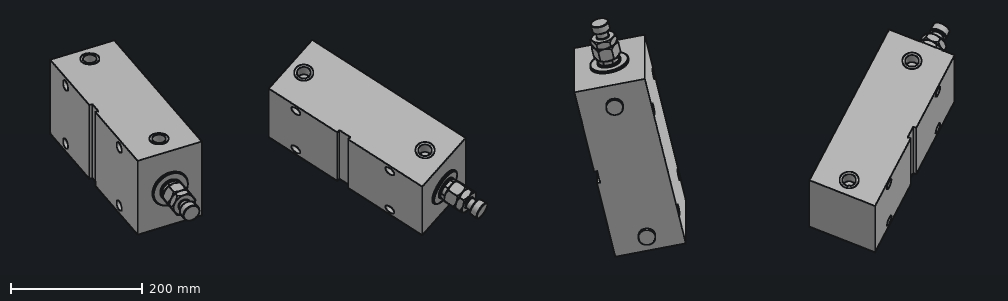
import cadquery as cq
import math

BLOCK_LENGTH = 293.0
BLOCK_WIDTH = 110.0
BLOCK_HEIGHT = 139.8

KEYWAY_START = 131.5
KEYWAY_WIDTH = 20.0
KEYWAY_DEPTH = 5.0

MOUNT_HOLE_DIAMETER = 17.0
MOUNT_HOLE_START = 52.0
MOUNT_HOLE_PITCH = 179.5
MOUNT_HOLE_INSET = 15.0

PORT_POSITIONS = (25.5, 257.0)
PORT_DIAMETER = 21.0
PORT_DEPTH = 22.0
SPOT_FACE_DIAMETER = 29.3
SPOT_FACE_DEPTH = 0.5
FEED_DIAMETER = 6.2
FEED_DEPTH = 11.0

PLUG_DIAMETER = 26.0
PLUG_HEIGHT = 5.0

AXIS_HEIGHT = BLOCK_HEIGHT / 2
FLANGE_DIAMETER = 60.0
FLANGE_THICKNESS = 3.3
FLANGE_CHAMFER = 1.0
COLLAR_DIAMETER = 36.5
COLLAR_LENGTH = 3.0
COLLAR_CHAMFER = 1.5
NECK_DIAMETER = 35.0
NECK_ACROSS_FLATS = 32.2
NECK_LENGTH = 7.5
HEX_ACROSS_FLATS = 36.2
HEX_ACROSS_CORNERS = HEX_ACROSS_FLATS / math.cos(math.radians(30))
HEX_CORNER_CHAMFER = 3.0
FITTING_HEX_LENGTH = 22.0
LOCK_NUT_LENGTH = 12.5
SHANK_DIAMETER = 19.8
WAIST_DIAMETER = 18.3
WAIST_LENGTH = 11.7
WAIST_TAPER_LENGTH = 1.0
KNOB_DIAMETER = 27.8
KNOB_CHAMFER = 0.7
OVERALL_LENGTH = 366.0

COLLAR_START = BLOCK_LENGTH + FLANGE_THICKNESS
NECK_START = COLLAR_START + COLLAR_LENGTH
FITTING_HEX_START = NECK_START + NECK_LENGTH
LOCK_NUT_START = FITTING_HEX_START + FITTING_HEX_LENGTH
WAIST_START = LOCK_NUT_START + LOCK_NUT_LENGTH
KNOB_START = WAIST_START + WAIST_LENGTH


def axis_plane(x):
    """Plane across the adjuster axis at x: local x runs along +Y and local y along +Z."""
    return cq.Workplane("YZ", origin=(x, 0, AXIS_HEIGHT))


def axis_cylinder(start, length, diameter):
    return axis_plane(start).circle(diameter / 2).extrude(length)


def chamfered_hex(start, length):
    """Hexagonal prism with flats facing +Z and -Z and its corners turned off at both ends."""
    prism = axis_plane(start).polygon(6, HEX_ACROSS_CORNERS).extrude(length)
    turned_envelope = axis_cylinder(start, length, HEX_ACROSS_CORNERS).edges().chamfer(HEX_CORNER_CHAMFER)
    return prism.intersect(turned_envelope)


def make_block():
    block = cq.Workplane("XY").box(BLOCK_LENGTH, BLOCK_WIDTH, BLOCK_HEIGHT, centered=(False, True, False))

    keyway = (
        cq.Workplane("XY", origin=(KEYWAY_START, -BLOCK_WIDTH / 2, 0))
        .box(KEYWAY_WIDTH, KEYWAY_DEPTH, BLOCK_HEIGHT, centered=False)
    )
    block = block.cut(keyway)

    mount_points = [
        (x, z)
        for x in (MOUNT_HOLE_START, MOUNT_HOLE_START + MOUNT_HOLE_PITCH)
        for z in (MOUNT_HOLE_INSET, BLOCK_HEIGHT - MOUNT_HOLE_INSET)
    ]
    mount_holes = (
        cq.Workplane("XZ", origin=(0, BLOCK_WIDTH / 2, 0))
        .pushPoints(mount_points)
        .circle(MOUNT_HOLE_DIAMETER / 2)
        .extrude(BLOCK_WIDTH)
    )
    block = block.cut(mount_holes)

    port_steps = (
        (SPOT_FACE_DIAMETER, SPOT_FACE_DEPTH),
        (PORT_DIAMETER, PORT_DEPTH),
        (FEED_DIAMETER, PORT_DEPTH + FEED_DEPTH),
    )
    for diameter, depth in port_steps:
        bores = (
            cq.Workplane("XY", origin=(0, 0, BLOCK_HEIGHT))
            .pushPoints([(x, 0) for x in PORT_POSITIONS])
            .circle(diameter / 2)
            .extrude(-depth)
        )
        block = block.cut(bores)
    return block


def make_plug(x):
    """Round plug head seated against the underside of the block."""
    return cq.Workplane("XY", origin=(x, 0, 0)).circle(PLUG_DIAMETER / 2).extrude(-PLUG_HEIGHT)


def make_fitting():
    """Flange, chamfered collar, neck with four wrench flats and hexagon, bored for the screw."""
    flange = axis_cylinder(BLOCK_LENGTH, FLANGE_THICKNESS, FLANGE_DIAMETER)
    flange = flange.faces(">X").chamfer(FLANGE_CHAMFER)
    collar = axis_cylinder(COLLAR_START, COLLAR_LENGTH, COLLAR_DIAMETER)
    collar = collar.faces(">X").chamfer(COLLAR_CHAMFER)
    flats = axis_plane(NECK_START).rect(NECK_ACROSS_FLATS, NECK_ACROSS_FLATS).extrude(NECK_LENGTH)
    neck = axis_cylinder(NECK_START, NECK_LENGTH, NECK_DIAMETER).intersect(flats)
    hexagon = chamfered_hex(FITTING_HEX_START, FITTING_HEX_LENGTH)
    screw_bore = axis_cylinder(FITTING_HEX_START, FITTING_HEX_LENGTH, SHANK_DIAMETER)
    return flange.union(collar).union(neck).union(hexagon).cut(screw_bore)


def make_lock_nut():
    bore = axis_cylinder(LOCK_NUT_START, LOCK_NUT_LENGTH, SHANK_DIAMETER)
    return chamfered_hex(LOCK_NUT_START, LOCK_NUT_LENGTH).cut(bore)


def make_adjusting_screw():
    """Shank in the lock nut and fitting, a tapered waist outside the nut and a round knob."""
    shank_radius = SHANK_DIAMETER / 2
    waist_radius = WAIST_DIAMETER / 2
    knob_radius = KNOB_DIAMETER / 2
    half_profile = [
        (FITTING_HEX_START, 0),
        (FITTING_HEX_START, shank_radius),
        (WAIST_START, shank_radius),
        (WAIST_START + WAIST_TAPER_LENGTH, waist_radius),
        (KNOB_START - WAIST_TAPER_LENGTH, waist_radius),
        (KNOB_START, shank_radius),
        (KNOB_START, knob_radius - KNOB_CHAMFER),
        (KNOB_START + KNOB_CHAMFER, knob_radius),
        (OVERALL_LENGTH - KNOB_CHAMFER, knob_radius),
        (OVERALL_LENGTH, knob_radius - KNOB_CHAMFER),
        (OVERALL_LENGTH, 0),
    ]
    profile_plane = cq.Workplane("XZ", origin=(0, 0, AXIS_HEIGHT))
    return profile_plane.polyline(half_profile).close().revolve(360, (0, 0, 0), (1, 0, 0))


block = make_block()
plugs = [make_plug(x) for x in PORT_POSITIONS]
fitting = make_fitting()
lock_nut = make_lock_nut()
adjusting_screw = make_adjusting_screw()

result = cq.Compound.makeCompound(
    [
        block.val(),
        *[plug.val() for plug in plugs],
        fitting.val(),
        lock_nut.val(),
        adjusting_screw.val(),
    ]
)